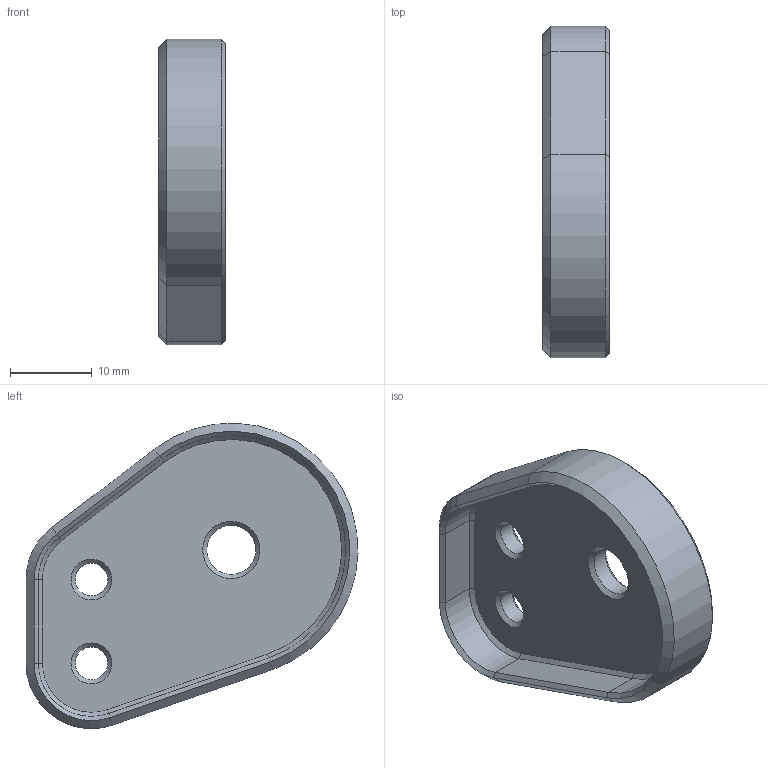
import cadquery as cq
import math

thickness = 8.12
pocket_depth = 5.12

pivot_radius = 15.5
corner_radius = 8.0
pivot_hole_diameter = 6.0
corner_hole_diameter = 4.0

corner_offset_y = 17.11
lower_corner_drop = 13.88
corner_spacing = 10.25

rim_outer_chamfer = 1.0
edge_chamfer = 0.5
wall_thickness = rim_outer_chamfer + edge_chamfer

pivot = (0.0, 0.0)
lower_corner = (corner_offset_y, -lower_corner_drop)
upper_corner = (corner_offset_y, corner_spacing - lower_corner_drop)
floor_x = pocket_depth


def point_on_circle(center, radius, angle):
    return (center[0] + radius * math.cos(angle), center[1] + radius * math.sin(angle))


def tangent_angle(start, start_radius, end, end_radius):
    """Normal direction of the outer tangent line, going counterclockwise from start to end."""
    dy = end[0] - start[0]
    dz = end[1] - start[1]
    heading = math.atan2(dz, dy)
    return heading - math.acos((start_radius - end_radius) / math.hypot(dy, dz))


def outline_prism(inset, start_x, length):
    """Three circles joined by their outer tangents, shrunk by inset and extruded along +X."""
    big = pivot_radius - inset
    small = corner_radius - inset
    lower_angle = tangent_angle(pivot, big, lower_corner, small)
    side_angle = 0.0
    upper_angle = tangent_angle(upper_corner, small, pivot, big)
    pivot_end_angle = lower_angle + 2 * math.pi

    def middle(first, second):
        return (first + second) / 2

    return (
        cq.Workplane("YZ", origin=(start_x, 0, 0))
        .moveTo(*point_on_circle(pivot, big, lower_angle))
        .lineTo(*point_on_circle(lower_corner, small, lower_angle))
        .threePointArc(
            point_on_circle(lower_corner, small, middle(lower_angle, side_angle)),
            point_on_circle(lower_corner, small, side_angle),
        )
        .lineTo(*point_on_circle(upper_corner, small, side_angle))
        .threePointArc(
            point_on_circle(upper_corner, small, middle(side_angle, upper_angle)),
            point_on_circle(upper_corner, small, upper_angle),
        )
        .lineTo(*point_on_circle(pivot, big, upper_angle))
        .threePointArc(
            point_on_circle(pivot, big, middle(upper_angle, pivot_end_angle)),
            point_on_circle(pivot, big, lower_angle),
        )
        .close()
        .extrude(length)
    )


def make_body():
    body = outline_prism(0.0, 0.0, thickness)
    body = body.faces("<X").chamfer(rim_outer_chamfer)
    return body.faces(">X").chamfer(edge_chamfer)


def make_pocket():
    """Pocket volume, chamfered in around its floor."""
    pocket = outline_prism(wall_thickness, 0.0, pocket_depth)
    return pocket.faces(">X").chamfer(edge_chamfer)


def make_rim_flare():
    """Shallow plug that bevels the inner rim edge until it meets the outer chamfer."""
    flare = outline_prism(rim_outer_chamfer, -edge_chamfer, 2 * edge_chamfer)
    return flare.faces(">X").chamfer(edge_chamfer)


def make_hole(center, diameter):
    """Through hole with chamfered mouths at the pocket floor and the back face."""
    radius = diameter / 2
    mouth_radius = radius + edge_chamfer
    profile = [
        (floor_x, 0),
        (floor_x, mouth_radius),
        (floor_x + edge_chamfer, radius),
        (thickness - edge_chamfer, radius),
        (thickness, mouth_radius),
        (thickness, 0),
    ]
    hole = cq.Workplane("XY").polyline(profile).close().revolve(360, (0, 0, 0), (1, 0, 0))
    return hole.translate((0, center[0], center[1]))


result = make_body().cut(make_pocket()).cut(make_rim_flare())
for hole_center, hole_diameter in (
    (pivot, pivot_hole_diameter),
    (lower_corner, corner_hole_diameter),
    (upper_corner, corner_hole_diameter),
):
    result = result.cut(make_hole(hole_center, hole_diameter))